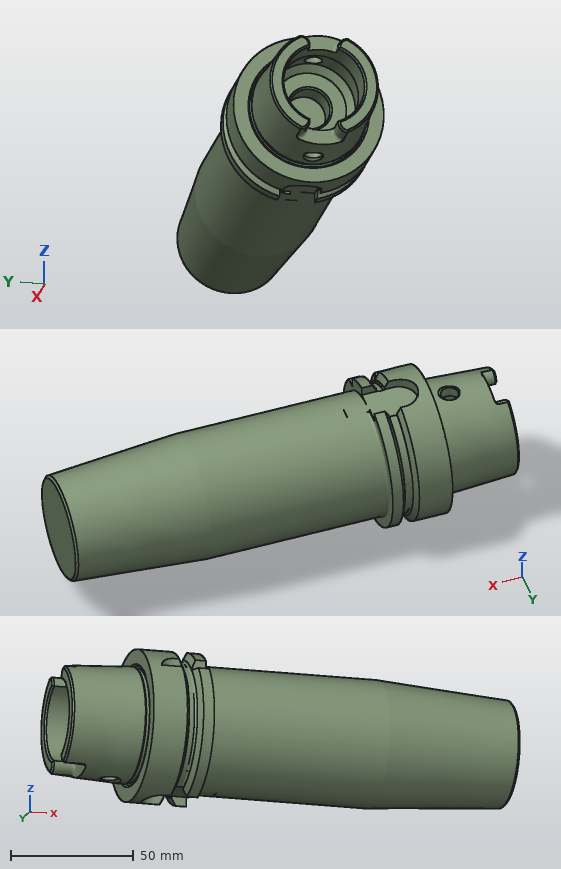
import cadquery as cq
import math

total_length = 192.0
flange_front = 32.0
flange_back = 58.0
body_end = 134.8

shank_tip_radius = 22.7
shank_radius = 24.2
taper_end = 29.8
neck_start = 30.7
neck_radius = 23.6
face_groove_radius = 25.3
face_groove_depth = 0.8
tip_chamfer = 0.8

flange_radius = 31.5
groove_center = 50.0
groove_mouth_half_width = 3.5
groove_floor_half_width = 1.7
groove_floor_radius = 27.5
groove_flank_angle = 30.0
groove_front_fillet = 0.5
groove_back_fillet = 1.0

body_radius = 26.5
nose_radius = 22.3
nose_chamfer = 1.0
root_fillet = 1.2

bore_radius = 16.9
bore_length = 13.0
undercut_radius = 18.5
undercut_angle = 60.0
bore_floor = 30.1
bore_floor_radius = 15.4
coolant_radius = 8.6
coolant_chamfer = 0.8
coolant_end = 40.3

access_x = 22.7
access_radius = 3.6
access_chamfer = 0.5
countersink_height = 2.0

slot_half_width = 6.0
slot_corner_radius = 3.8
slot_floor_fillet = 1.3
top_slot_depth = 6.0
bottom_slot_depth = 9.8

cutter_radius = 7.9
pocket_center_x = 44.5
relief_half_width = 2.3
relief_end = 67.8
notch_offset = 20.0

clear = 2 * flange_radius


def revolve(profile):
    """Turn a closed (x, radius) outline about the X axis."""
    return profile.close().revolve(360, (0, 0, 0), (1, 0, 0))


def make_turned_body():
    neck_bottom = flange_front + face_groove_depth
    return revolve(
        cq.Workplane("XY")
        .moveTo(0, 0)
        .lineTo(0, shank_tip_radius - tip_chamfer)
        .lineTo(tip_chamfer, shank_tip_radius)
        .lineTo(taper_end, shank_radius)
        .lineTo(neck_start, shank_radius)
        .lineTo(neck_start + shank_radius - neck_radius, neck_radius)
        .lineTo(neck_bottom, neck_radius)
        .lineTo(neck_bottom, face_groove_radius - face_groove_depth)
        .lineTo(flange_front, face_groove_radius)
        .lineTo(flange_front, flange_radius)
        .lineTo(flange_back, flange_radius)
        .lineTo(flange_back, body_radius)
        .lineTo(body_end, body_radius)
        .lineTo(total_length, nose_radius)
        .lineTo(total_length, 0)
    ).faces(">X").edges().chamfer(nose_chamfer)


def make_gripper_groove():
    """V-flanked ring groove with short straight walls and a rounded floor."""
    flank_height = (groove_mouth_half_width - groove_floor_half_width) / math.tan(
        math.radians(groove_flank_angle)
    )
    front_wall = groove_center - groove_floor_half_width
    back_wall = groove_center + groove_floor_half_width
    wall_top = flange_radius - flank_height
    return revolve(
        cq.Workplane("XY")
        .moveTo(groove_center - groove_mouth_half_width, flange_radius)
        .lineTo(front_wall, wall_top)
        .lineTo(front_wall, groove_floor_radius + groove_front_fillet)
        .radiusArc((front_wall + groove_front_fillet, groove_floor_radius), -groove_front_fillet)
        .lineTo(back_wall - groove_back_fillet, groove_floor_radius)
        .radiusArc((back_wall, groove_floor_radius + groove_back_fillet), -groove_back_fillet)
        .lineTo(back_wall, wall_top)
        .lineTo(groove_center + groove_mouth_half_width, flange_radius)
    )


def make_root_fillet():
    """Fillet between the flange back and the body, on the +Y half only."""
    return (
        cq.Workplane("XY")
        .moveTo(flange_back, body_radius)
        .lineTo(flange_back, body_radius + root_fillet)
        .radiusArc((flange_back + root_fillet, body_radius), -root_fillet)
        .close()
        .revolve(180, (0, 0, 0), (1, 0, 0))
        .rotate((0, 0, 0), (1, 0, 0), -90)
    )


def make_bore():
    undercut_step = undercut_radius - bore_radius
    undercut_start = bore_length + undercut_step / math.tan(math.radians(undercut_angle))
    return revolve(
        cq.Workplane("XY")
        .moveTo(0, 0)
        .lineTo(0, bore_radius + tip_chamfer)
        .lineTo(tip_chamfer, bore_radius)
        .lineTo(bore_length, bore_radius)
        .lineTo(undercut_start, undercut_radius)
        .lineTo(bore_floor - (undercut_radius - bore_floor_radius), undercut_radius)
        .lineTo(bore_floor, bore_floor_radius)
        .lineTo(bore_floor, coolant_radius + coolant_chamfer)
        .lineTo(bore_floor + coolant_chamfer, coolant_radius)
        .lineTo(coolant_end, coolant_radius)
        .lineTo(coolant_end, 0)
    )


def drive_slot_outline():
    """Cross section of a tip slot: straight walls that round away at the shank surface."""
    shoulder = slot_half_width + slot_corner_radius
    shoulder_z = math.sqrt(shank_tip_radius**2 - shoulder**2)
    wall_top = shoulder_z - slot_corner_radius
    return (
        cq.Workplane("YZ")
        .moveTo(-slot_half_width, 0)
        .lineTo(-slot_half_width, wall_top)
        .radiusArc((-shoulder, shoulder_z), -slot_corner_radius)
        .lineTo(-shoulder, clear)
        .lineTo(shoulder, clear)
        .lineTo(shoulder, shoulder_z)
        .radiusArc((slot_half_width, wall_top), -slot_corner_radius)
        .lineTo(slot_half_width, 0)
        .close()
    )


def make_drive_slot(depth):
    """Slot on the +Z side with a filleted floor and a chamfered mouth."""
    slot = drive_slot_outline().extrude(depth).faces(">X").edges().fillet(slot_floor_fillet)
    mouth = (
        drive_slot_outline()
        .offset2D(tip_chamfer)
        .extrude(2 * tip_chamfer)
        .translate((-tip_chamfer, 0, 0))
        .faces(">X")
        .edges()
        .chamfer(tip_chamfer)
    )
    return slot.union(mouth)


def make_access_hole():
    """Cross hole along Z, countersunk where it meets the shank surface."""
    shank_surface = shank_tip_radius + (shank_radius - shank_tip_radius) * access_x / taper_end
    rim_z = math.sqrt(shank_surface**2 - access_radius**2)
    hole = cq.Workplane("XY").center(access_x, 0).circle(access_radius).extrude(clear, both=True)
    countersink = cq.Workplane(
        cq.Solid.makeCone(
            access_radius,
            access_radius + countersink_height,
            countersink_height,
            pnt=cq.Vector(access_x, 0, rim_z - access_chamfer),
        )
    )
    return hole.union(countersink).union(countersink.mirror("XY"))


def box_between(x_range, y_range, z_range):
    size = [high - low for low, high in (x_range, y_range, z_range)]
    return cq.Workplane("XY").box(*size, centered=False).translate((x_range[0], y_range[0], z_range[0]))


def make_key_pocket():
    """Round-ended flat pocket plus the narrow flat it leaves along the body."""
    floor = math.sqrt(body_radius**2 - relief_half_width**2)
    height = (floor, clear)
    pocket = box_between((pocket_center_x, flange_back), (-cutter_radius, cutter_radius), height)
    end = cq.Workplane("XY", origin=(pocket_center_x, 0, floor)).circle(cutter_radius).extrude(clear)
    relief = box_between((pocket_center_x, relief_end), (-relief_half_width, relief_half_width), height)
    return pocket.union(end).union(relief)


def make_orientation_notch():
    """Corner notch in the flange with a wall facing -Y and a floor facing +Z."""
    length = (pocket_center_x, flange_back)
    straight = box_between(length, (-clear, -notch_offset), (notch_offset, clear))
    end = (
        cq.Workplane("XY", origin=(pocket_center_x, -notch_offset - cutter_radius, notch_offset))
        .circle(cutter_radius)
        .extrude(clear)
    )
    return straight.union(end)


result = make_turned_body().union(make_root_fillet())
result = result.cut(make_gripper_groove()).cut(make_bore())
result = result.cut(make_drive_slot(top_slot_depth))
result = result.cut(make_drive_slot(bottom_slot_depth).mirror("XY"))
result = result.cut(make_access_hole())
key_pocket = make_key_pocket()
result = result.cut(key_pocket).cut(key_pocket.mirror("XY")).cut(make_orientation_notch())